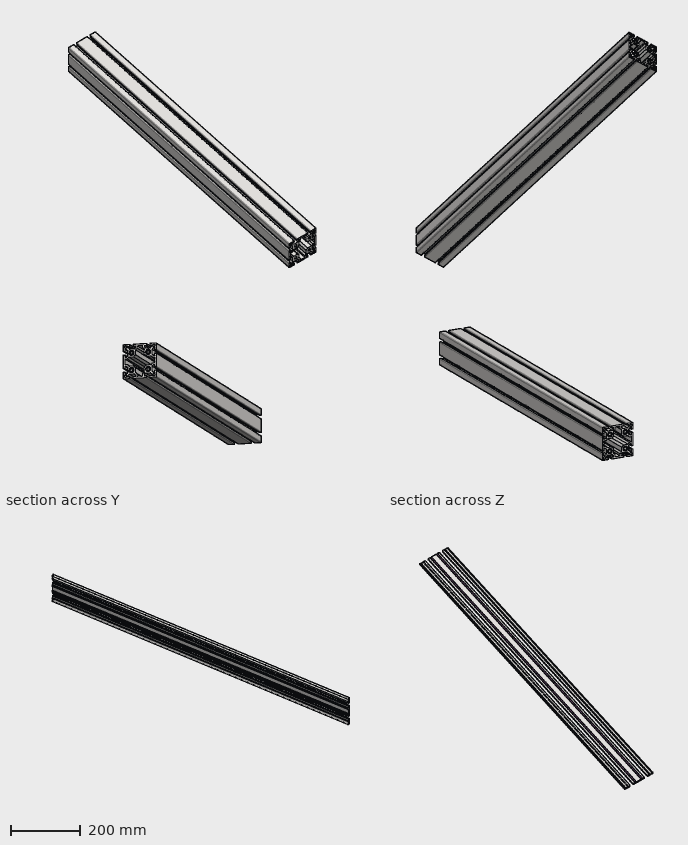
import cadquery as cq

LENGTH = 1000.0
SIDE = 100.0
HALF = SIDE / 2
CORNER_RADIUS = 2.0

SLOT_OFFSET = SIDE / 4
SLOT_OPENING = 10.2
SLOT_EDGE_RADIUS = 1.0
SLOT_INNER_WIDTH = 23.0
SLOT_DEPTH = 13.5
SLOT_INNER_CHAMFER = 4.0
SLOT_OUTER_CHAMFER = 5.0

WALL_THICKNESS = 5.5

ARM_HALF_WIDTH = 8.0
BODY_HALF_WIDTH = 13.0
BODY_CHAMFER = BODY_HALF_WIDTH - ARM_HALF_WIDTH
ARM_INNER_END = 38.0
BOSS_CHAMFER = 6.0

CORE_HOLE_DIAMETER = 8.5
CORE_RECESS_DIAMETER = 15.0
CORE_RECESS_DEPTH = 1.0

CORNER_HOLE_DIAMETER = 6.7
CORNER_HOLE_OFFSET = 42.7

QUADRANTS = [(1, 1), (-1, 1), (-1, -1), (1, -1)]


def end_plane():
    """Sketch plane on the -X end; extrusions run toward +X."""
    return cq.Workplane("YZ", origin=(-LENGTH / 2, 0, 0))


def outer_bar():
    """Solid square bar with rounded long edges."""
    return end_plane().rect(SIDE, SIDE).extrude(LENGTH).edges("|X").fillet(CORNER_RADIUS)


def slot_cutter():
    """One T-slot in the +Z side, on the +Y half."""
    left = SLOT_OFFSET - SLOT_OPENING / 2
    right = SLOT_OFFSET + SLOT_OPENING / 2
    inner = SLOT_OFFSET - SLOT_INNER_WIDTH / 2
    outer = SLOT_OFFSET + SLOT_INNER_WIDTH / 2
    roof = HALF - WALL_THICKNESS
    floor = HALF - SLOT_DEPTH
    rounding_start = HALF - SLOT_EDGE_RADIUS
    outline = (
        end_plane()
        .moveTo(left - SLOT_EDGE_RADIUS, HALF)
        .radiusArc((left, rounding_start), SLOT_EDGE_RADIUS)
        .lineTo(left, roof)
        .lineTo(inner, roof)
        .lineTo(inner, floor + SLOT_INNER_CHAMFER)
        .lineTo(inner + SLOT_INNER_CHAMFER, floor)
        .lineTo(outer - SLOT_OUTER_CHAMFER, floor)
        .lineTo(outer, floor + SLOT_OUTER_CHAMFER)
        .lineTo(outer, roof)
        .lineTo(right, roof)
        .lineTo(right, rounding_start)
        .radiusArc((right + SLOT_EDGE_RADIUS, HALF), SLOT_EDGE_RADIUS)
        .close()
    )
    return outline.extrude(LENGTH)


def cut_slots(body):
    """Cut a mirrored pair of T-slots into each of the four sides."""
    slot = slot_cutter()
    for cutter in (slot, slot.mirror("XZ")):
        for turn in range(4):
            body = body.cut(cutter.rotate((0, 0, 0), (1, 0, 0), 90 * turn))
    return body


def cavity_cutter():
    """Central cavity, the same in every quadrant and about the diagonals."""
    eighth = [
        (ARM_HALF_WIDTH, HALF - WALL_THICKNESS),
        (ARM_HALF_WIDTH, ARM_INNER_END),
        (BODY_HALF_WIDTH, ARM_INNER_END - BODY_CHAMFER),
        (BODY_HALF_WIDTH, BODY_HALF_WIDTH + BOSS_CHAMFER),
    ]
    quarter = eighth + [(z, y) for y, z in reversed(eighth)]
    points = []
    for y_sign, z_sign in QUADRANTS:
        ordered = quarter if y_sign != z_sign else quarter[::-1]
        points += [(y_sign * y, z_sign * z) for y, z in ordered]
    return end_plane().polyline(points).close().extrude(LENGTH)


def hole_cutters(offset, diameter, depth):
    """Four round bores from the -X end, one per quadrant on its diagonal."""
    centres = [(y_sign * offset, z_sign * offset) for y_sign, z_sign in QUADRANTS]
    return end_plane().pushPoints(centres).circle(diameter / 2).extrude(depth)


profile = outer_bar().cut(cavity_cutter())
profile = cut_slots(profile)
profile = profile.cut(hole_cutters(SLOT_OFFSET, CORE_HOLE_DIAMETER, LENGTH))
profile = profile.cut(hole_cutters(SLOT_OFFSET, CORE_RECESS_DIAMETER, CORE_RECESS_DEPTH))
profile = profile.cut(hole_cutters(CORNER_HOLE_OFFSET, CORNER_HOLE_DIAMETER, LENGTH))

result = profile